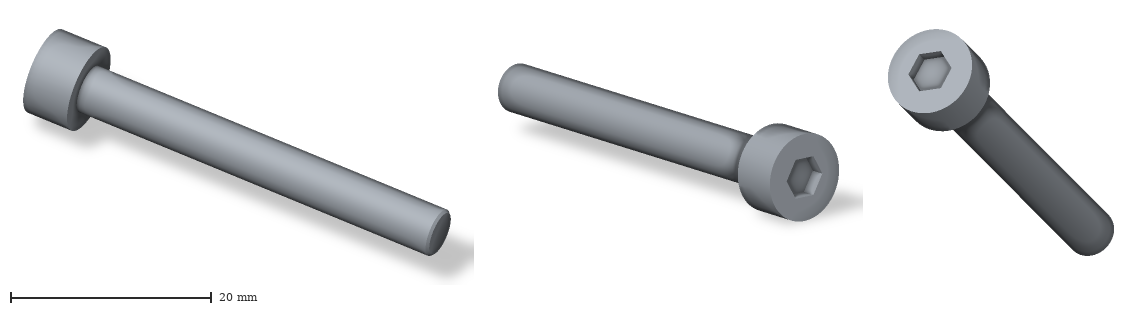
import cadquery as cq
import math

total_length = 45.0
head_diameter = 9.0
head_length = 5.0
shank_diameter = 5.0
tip_chamfer = 0.25
socket_across_flats = 4.0
socket_depth = 1.5
socket_across_corners = socket_across_flats / math.cos(math.radians(30))


def make_head():
    return cq.Workplane("YZ").circle(head_diameter / 2).extrude(head_length)


def make_shank():
    shank = cq.Workplane("YZ").circle(shank_diameter / 2).extrude(total_length)
    return shank.faces(">X").chamfer(tip_chamfer)


def make_socket():
    return cq.Workplane("YZ").polygon(6, socket_across_corners).extrude(socket_depth)


result = make_head().union(make_shank()).cut(make_socket())